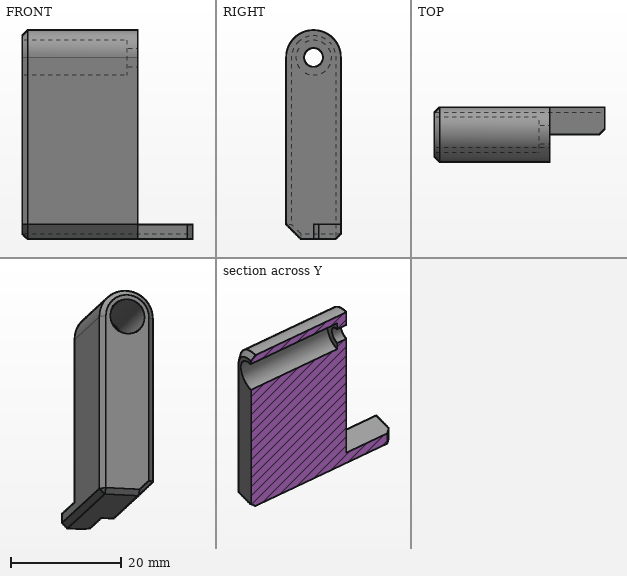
import cadquery as cq

height = 38.0
body_length = 21.0
thickness = 10.0
edge_chamfer = 1.0
bottom_bevel = 2.7
back_bevel = edge_chamfer
tab_length = 10.0
tab_height = bottom_bevel
bore_diameter = 6.4
hole_diameter = 3.4
end_wall = 2.0

overall_length = body_length + tab_length
radius = thickness / 2
bore_height = height - radius
bore_depth = body_length - end_wall


def make_body():
    """Round-topped slab with a chamfered end face."""
    slab = (
        cq.Workplane("YZ")
        .moveTo(radius, 0)
        .lineTo(radius, bore_height)
        .threePointArc((0, height), (-radius, bore_height))
        .lineTo(-radius, 0)
        .close()
        .extrude(body_length)
    )
    return slab.faces("<X").chamfer(edge_chamfer)


def corner_triangle(workplane, side, leg):
    """Right triangle on the lower corner at -Y (side = -1) or +Y (side = 1)."""
    corner = side * radius
    return workplane.polyline([(corner, 0), (corner - side * leg, 0), (corner, leg)]).close()


def bevel_cutter(side, leg, length):
    """45 degree corner cut along X that widens towards the end to follow its chamfer."""
    flare = corner_triangle(cq.Workplane("YZ"), side, leg + edge_chamfer)
    flare = corner_triangle(flare.workplane(offset=edge_chamfer), side, leg).loft(ruled=True)
    straight_start = cq.Workplane("YZ", origin=(edge_chamfer, 0, 0))
    straight = corner_triangle(straight_start, side, leg).extrude(length - edge_chamfer)
    return flare.union(straight)


def make_tab():
    """Foot on the +Y half of the slab with one clipped corner."""
    tab = cq.Workplane("XY").box(tab_length, radius, tab_height, centered=False)
    tab = tab.edges("|Z and >X and <Y").chamfer(edge_chamfer)
    return tab.translate((body_length, 0, 0))


def bore(diameter, depth):
    """Cylinder along X from the chamfered end at the centre of the round top."""
    return cq.Workplane("YZ").center(0, bore_height).circle(diameter / 2).extrude(depth)


result = make_body().union(make_tab())
result = result.cut(bevel_cutter(-1, bottom_bevel, body_length))
result = result.cut(bevel_cutter(1, back_bevel, overall_length))
result = result.cut(bore(bore_diameter, bore_depth))
result = result.cut(bore(hole_diameter, body_length))